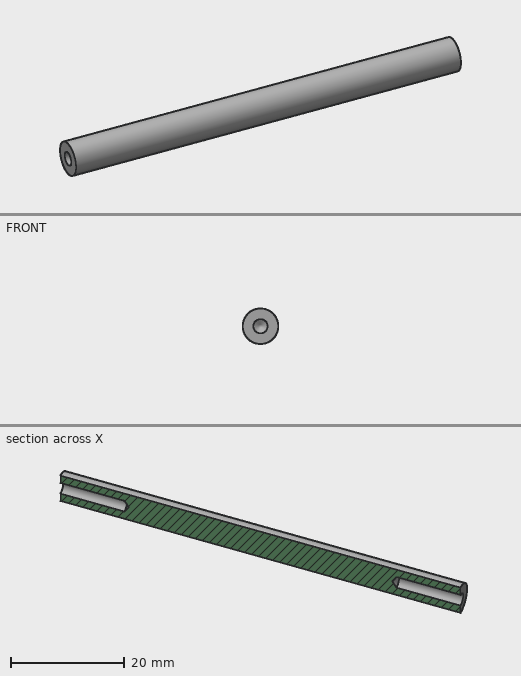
import cadquery as cq
import math

length = 76.2
outer_diameter = 6.3

bore_diameter = 2.5
bore_depth = 12.2
drill_point_angle = 118.0

bore_radius = bore_diameter / 2
point_depth = bore_radius / math.tan(math.radians(drill_point_angle / 2))


def drilled_hole():
    """Blind hole entering the -Y end face, with a conical bottom."""
    entry = -length / 2
    floor = entry + bore_depth
    return (
        cq.Workplane("XY")
        .moveTo(0, entry)
        .lineTo(bore_radius, entry)
        .lineTo(bore_radius, floor)
        .lineTo(0, floor + point_depth)
        .close()
        .revolve(360, (0, 0, 0), (0, 1, 0))
    )


rod = cq.Workplane("XZ", origin=(0, length / 2, 0)).circle(outer_diameter / 2).extrude(length)
near_hole = drilled_hole()
far_hole = near_hole.mirror("XZ")

result = rod.cut(near_hole).cut(far_hole)